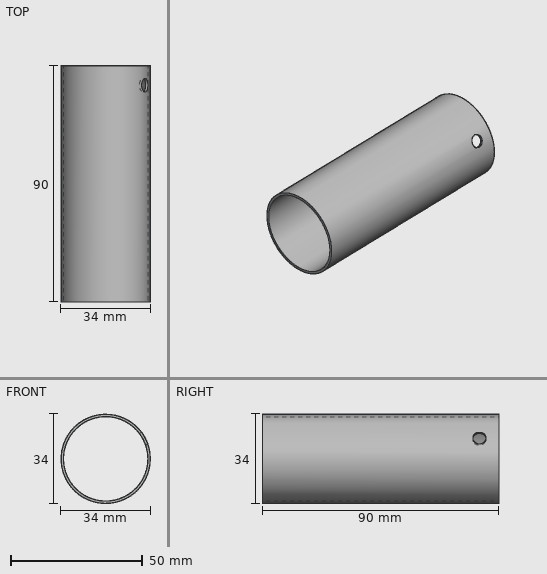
import cadquery as cq

length = 90.0
outer_diameter = 34.0
wall = 1.0

hole_diameter = 5.0
hole_end_distance = 7.5
hole_elevation = 28.0

outer_radius = outer_diameter / 2
inner_radius = outer_radius - wall


def make_tube():
    """Plain tube centred on the origin."""
    profile = cq.Workplane("XZ").circle(outer_radius).circle(inner_radius)
    return profile.extrude(length / 2, both=True)


def make_hole_cutter():
    """Cylinder running outwards from the tube axis, through one wall only."""
    hole_y = length / 2 - hole_end_distance
    cutter_length = outer_radius + wall
    cutter = (
        cq.Workplane("YZ")
        .center(hole_y, 0)
        .circle(hole_diameter / 2)
        .extrude(cutter_length)
    )
    return cutter.rotate((0, 0, 0), (0, 1, 0), -hole_elevation)


result = make_tube().cut(make_hole_cutter())